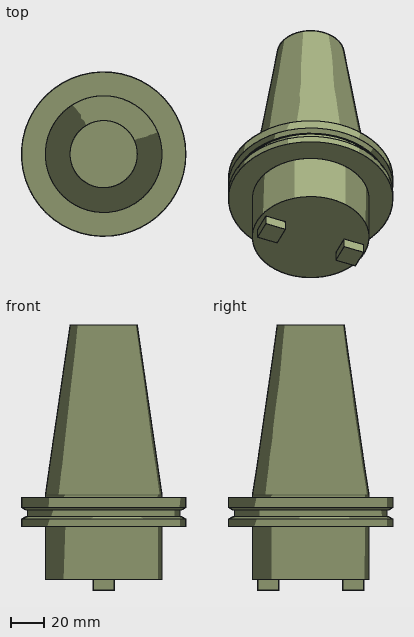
import cadquery as cq
import math

GAUGE_DIAMETER = 69.85
TAPER_LENGTH = 101.6
TAPER_RATIO = 7 / 24
SMALL_END_DIAMETER = GAUGE_DIAMETER - TAPER_RATIO * TAPER_LENGTH

FLANGE_DIAMETER = 98.43
NECK_LENGTH = 1.5875
FLANGE_BOTTOM_Z = -19.05

GROOVE_CENTER_Z = -11.11
GROOVE_ROOT_DIAMETER = 91.3
GROOVE_ROOT_WIDTH = 3.8
GROOVE_MOUTH_WIDTH = 7.0
GROOVE_FLANK_ANGLE = 30

NOSE_DIAMETER = GAUGE_DIAMETER
NOSE_LENGTH = 31.75
NOSE_BOTTOM_Z = FLANGE_BOTTOM_Z - NOSE_LENGTH

KEY_WIDTH = 12.7
KEY_HEIGHT = KEY_WIDTH / 2
KEY_OUTER_REACH = 31.75
KEY_CENTER_OFFSET = KEY_OUTER_REACH - KEY_WIDTH / 2


def cylinder(diameter, bottom_z, top_z):
    """Solid cylinder on the Z axis between two heights."""
    return cq.Workplane("XY", origin=(0, 0, bottom_z)).circle(diameter / 2).extrude(top_z - bottom_z)


def make_taper_shank():
    """Cone above the gauge plane."""
    return (
        cq.Workplane("XZ")
        .lineTo(GAUGE_DIAMETER / 2, 0)
        .lineTo(SMALL_END_DIAMETER / 2, TAPER_LENGTH)
        .lineTo(0, TAPER_LENGTH)
        .close()
        .revolve(360, (0, 0, 0), (0, 1, 0))
    )


def make_groove():
    """Ring cut from the flange rim: a straight-sided root that opens into sloped flanks."""
    root_radius = GROOVE_ROOT_DIAMETER / 2
    rim_radius = FLANGE_DIAMETER / 2
    half_root = GROOVE_ROOT_WIDTH / 2
    half_mouth = GROOVE_MOUTH_WIDTH / 2
    flank_depth = (half_mouth - half_root) / math.tan(math.radians(GROOVE_FLANK_ANGLE))
    flank_radius = rim_radius - flank_depth
    return (
        cq.Workplane("XZ")
        .moveTo(root_radius, GROOVE_CENTER_Z - half_root)
        .lineTo(flank_radius, GROOVE_CENTER_Z - half_root)
        .lineTo(rim_radius, GROOVE_CENTER_Z - half_mouth)
        .lineTo(rim_radius, GROOVE_CENTER_Z + half_mouth)
        .lineTo(flank_radius, GROOVE_CENTER_Z + half_root)
        .lineTo(root_radius, GROOVE_CENTER_Z + half_root)
        .close()
        .revolve(360, (0, 0, 0), (0, 1, 0))
    )


def make_drive_keys():
    """Two square keys below the nose, on opposite sides along Y."""
    return (
        cq.Workplane("XY", origin=(0, 0, NOSE_BOTTOM_Z))
        .pushPoints([(0, -KEY_CENTER_OFFSET), (0, KEY_CENTER_OFFSET)])
        .rect(KEY_WIDTH, KEY_WIDTH)
        .extrude(-KEY_HEIGHT)
    )


neck = cylinder(GAUGE_DIAMETER, -NECK_LENGTH, 0)
flange = cylinder(FLANGE_DIAMETER, FLANGE_BOTTOM_Z, -NECK_LENGTH).cut(make_groove())
nose = cylinder(NOSE_DIAMETER, NOSE_BOTTOM_Z, FLANGE_BOTTOM_Z)

result = make_taper_shank().union(neck).union(flange).union(nose).union(make_drive_keys())